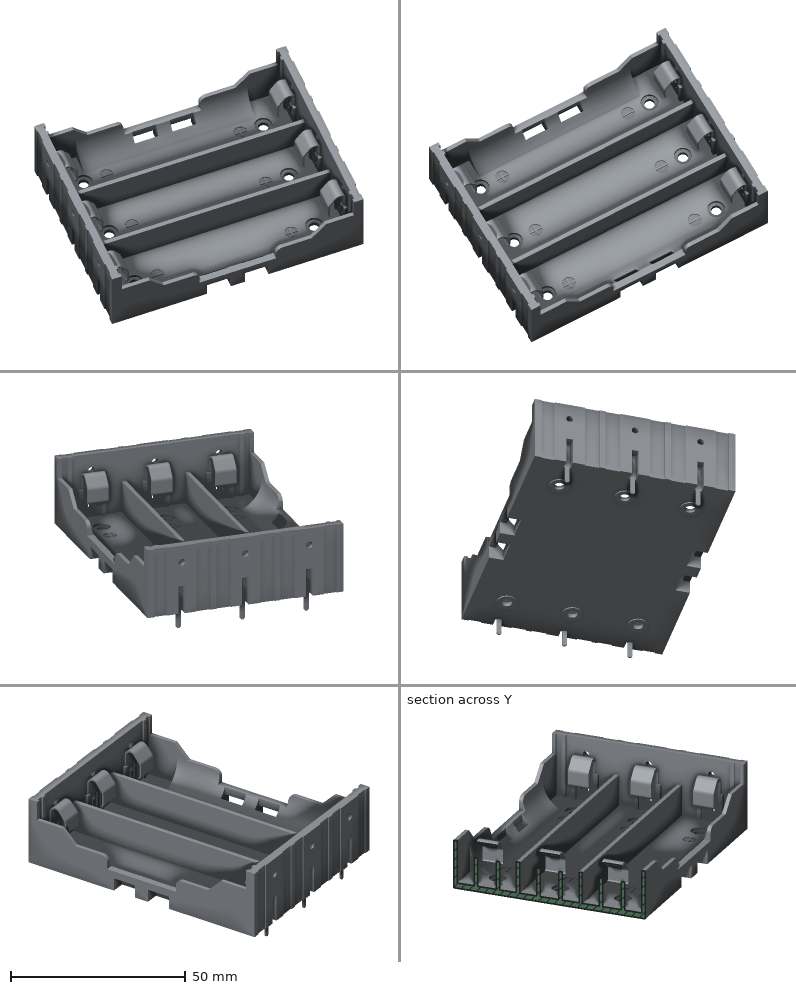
import cadquery as cq
import math


LENGTH_X = 59.8
LENGTH_Y = 77.8
HEIGHT = 21.0
FLOOR = 1.8
END_WALL = 2.5
SIDE_WALL = 1.2
INNER_X = LENGTH_X / 2 - SIDE_WALL
INNER_Y = LENGTH_Y / 2 - END_WALL

CELL_PITCH = 19.5
CELL_XS = [-CELL_PITCH, 0.0, CELL_PITCH]
CELL_RADIUS = INNER_X - CELL_PITCH
PARTITION_WIDTH = 1.25
PARTITION_TOP = 11.35

SHOULDER_Z = 14.9
RAIL_Z = 10.5
NOTCH_Z = 6.4
POST_DEPTH = 0.55
SHOULDER_END_Y = 27.3
SLOPE_END_Y = 22.9
NOTCH_HALF_Y = 11.8
NOTCH_FILLET = 2.0

CRADLE_HALF_Y = 26.45
CRADLE_FOOT = 3.1
CELL_AXIS_Z = FLOOR + math.sqrt(CELL_RADIUS**2 - CRADLE_FOOT**2)
WINDOW_WIDTH_X = 4.2
WINDOW_LENGTH_Y = 7.3
WINDOW_Y = 5.8
WINDOW_TOP = 4.05
NOTCH_WALL = 2.0

PAD_HALF = 4.5
GROOVE_DEPTH = 0.3
RIDGE_WIDTH = 1.8
CORNER_STRIP = 2.1
RIB_WIDTH = 1.25
RIB_X = 26.3
PEEP_HOLE_DIAMETER = 2.0
PEEP_HOLE_Z = 15.9
PIN_SLOT_WIDTH = 2.0
PIN_SLOT_TOP = 8.5

SCREW_Y = 27.8
SCREW_DIAMETER = 3.0
COUNTERBORE_DIAMETER = 5.1
COUNTERBORE_DEPTH = 0.8
BOSS_DIAMETER = 5.8
BOSS_HEIGHT = 0.3
DISC_Y = 20.7
DISC_DIAMETER = 4.0
DISC_DEPTH = 0.3
MARK_WIDTH = 0.5
MARK_CROSS_LENGTH = 3.2

SHEET = 0.5
CONTACT_WIDTH = 6.4
CONTACT_TOP = 15.95
ARCH_DIAMETER = 4.0
NOSE_REACH = 5.6
NOSE_RADIUS = 1.55
CURL_RADIUS = 1.0
CURL_START_Z = 8.55
SLANT_NORMAL_ANGLE = 38.0
CURL_END_ANGLE = -60.0
PIN_WIDTH = 1.4
PIN_BOTTOM = -5.45
PIN_CHAMFER = 0.5
TONGUE_TOP = 7.55
SLIT_WIDTH = 2.8
SLIT_BOTTOM = 4.8
SLIT_TOP = 9.3

RAIL_OUTER_X = 4.05
RAIL_LIP = 0.4
RAIL_DEPTH = 0.9
RAIL_TOP = 10.5


def block(x0, x1, y0, y1, z0, z1):
    """Axis-aligned box between two opposite corners."""
    return cq.Workplane("XY").box(x1 - x0, y1 - y0, z1 - z0, centered=False).translate((x0, y0, z0))


def upright(diameter, x, y, z0, z1):
    """Vertical cylinder."""
    return cq.Workplane("XY", origin=(x, y, z0)).circle(diameter / 2).extrude(z1 - z0)


def both_ends(shape):
    """The shape together with its mirror image at the other end of the holder."""
    return shape.union(shape.mirror("XZ"))


def both_sides(shape):
    """The shape together with its mirror image at the other side of the holder."""
    return shape.union(shape.mirror("YZ"))


def cradle():
    """Hollowed block in the corner between the floor and the +X side wall."""
    inner_edge = CELL_PITCH + CRADLE_FOOT
    body = block(inner_edge, INNER_X, -CRADLE_HALF_Y, CRADLE_HALF_Y, FLOOR, CELL_AXIS_Z)
    cell = (
        cq.Workplane("XZ", origin=(CELL_PITCH, CRADLE_HALF_Y, CELL_AXIS_Z))
        .circle(CELL_RADIUS)
        .extrude(2 * CRADLE_HALF_Y)
    )
    return body.cut(cell)


def side_opening():
    """Space above the stepped top edge of the +X side wall and its cradle."""
    post_y = INNER_Y - POST_DEPTH
    opening = (
        cq.Workplane("YZ", origin=(CELL_PITCH + CRADLE_FOOT, 0, 0))
        .moveTo(-post_y, HEIGHT)
        .lineTo(-post_y, SHOULDER_Z)
        .lineTo(-SHOULDER_END_Y, SHOULDER_Z)
        .lineTo(-SLOPE_END_Y, RAIL_Z)
        .lineTo(-NOTCH_HALF_Y - NOTCH_FILLET, RAIL_Z)
        .radiusArc((-NOTCH_HALF_Y, RAIL_Z - NOTCH_FILLET), NOTCH_FILLET)
        .lineTo(-NOTCH_HALF_Y, NOTCH_Z)
        .lineTo(NOTCH_HALF_Y, NOTCH_Z)
        .lineTo(NOTCH_HALF_Y, RAIL_Z - NOTCH_FILLET)
        .radiusArc((NOTCH_HALF_Y + NOTCH_FILLET, RAIL_Z), NOTCH_FILLET)
        .lineTo(SLOPE_END_Y, RAIL_Z)
        .lineTo(SHOULDER_END_Y, SHOULDER_Z)
        .lineTo(post_y, SHOULDER_Z)
        .lineTo(post_y, HEIGHT)
        .close()
        .extrude(LENGTH_X / 2)
    )
    inner_end_walls = block(0, INNER_X, INNER_Y - POST_DEPTH, LENGTH_Y / 2, 0, HEIGHT)
    return opening.cut(both_ends(inner_end_walls))


def side_window(y):
    """Opening in the foot of the +X side wall, rising through the cradle just inside the wall."""
    half = WINDOW_LENGTH_Y / 2
    inner_edge = LENGTH_X / 2 - WINDOW_WIDTH_X
    wall_opening = block(inner_edge, LENGTH_X / 2, y - half, y + half, 0, WINDOW_TOP)
    cradle_opening = block(inner_edge, LENGTH_X / 2 - NOTCH_WALL, y - half, y + half, 0, NOTCH_Z)
    return wall_opening.union(cradle_opening)


def outer_groove(x0, x1):
    """Shallow full-height groove in the outer face of the +Y end wall."""
    return block(x0, x1, LENGTH_Y / 2 - GROOVE_DEPTH, LENGTH_Y / 2, 0, HEIGHT)


def contact_rails(x):
    """Pair of hooked rails on the inside of the +Y end wall, for the contact at x."""
    rail = block(CONTACT_WIDTH / 2 - RAIL_LIP, RAIL_OUTER_X, INNER_Y - RAIL_DEPTH, INNER_Y, FLOOR, RAIL_TOP)
    plate_seat = block(0, CONTACT_WIDTH / 2, INNER_Y - SHEET, INNER_Y, FLOOR, RAIL_TOP)
    return both_sides(rail.cut(plate_seat)).translate((x, 0, 0))


def polarity_disc(x, y, crossed):
    """Round recess to cut in the floor, leaving a raised bar or cross inside it."""
    recess = upright(DISC_DIAMETER, x, y, FLOOR - DISC_DEPTH, FLOOR)
    half = MARK_WIDTH / 2
    bar = block(x - half, x + half, y - DISC_DIAMETER, y + DISC_DIAMETER, 0, FLOOR)
    recess = recess.cut(bar)
    if crossed:
        reach = MARK_CROSS_LENGTH / 2
        recess = recess.cut(block(x - reach, x + reach, y - half, y + half, 0, FLOOR))
    return recess


def make_housing():
    """Open tray with cradles, partitions, contact slots and screw holes."""
    body = block(-LENGTH_X / 2, LENGTH_X / 2, -LENGTH_Y / 2, LENGTH_Y / 2, 0, HEIGHT)
    body = body.cut(block(-INNER_X, INNER_X, -INNER_Y, INNER_Y, FLOOR, HEIGHT))

    post = block(INNER_X, LENGTH_X / 2, INNER_Y - POST_DEPTH, INNER_Y, 0, HEIGHT)
    rib = block(
        RIB_X - RIB_WIDTH / 2, RIB_X + RIB_WIDTH / 2, INNER_Y - POST_DEPTH, INNER_Y, FLOOR, HEIGHT
    )
    body = body.union(both_sides(cradle()))
    body = body.cut(both_sides(side_opening()))
    body = body.union(both_sides(both_ends(post.union(rib))))
    for y in (-WINDOW_Y, WINDOW_Y):
        body = body.cut(both_sides(side_window(y)))

    partition = block(
        (CELL_PITCH - PARTITION_WIDTH) / 2,
        (CELL_PITCH + PARTITION_WIDTH) / 2,
        -INNER_Y,
        INNER_Y,
        FLOOR,
        PARTITION_TOP,
    )
    body = body.union(both_sides(partition))

    groove_spans = [
        (PAD_HALF, (CELL_PITCH - RIDGE_WIDTH) / 2),
        ((CELL_PITCH + RIDGE_WIDTH) / 2, CELL_PITCH - PAD_HALF),
        (CELL_PITCH + PAD_HALF, LENGTH_X / 2 - CORNER_STRIP),
    ]
    for start, end in groove_spans:
        body = body.cut(both_sides(both_ends(outer_groove(start, end))))

    for x in CELL_XS:
        pin_slot = block(
            x - PIN_SLOT_WIDTH / 2, x + PIN_SLOT_WIDTH / 2, INNER_Y, LENGTH_Y / 2, 0, PIN_SLOT_TOP
        )
        floor_slot = block(
            x - PIN_SLOT_WIDTH / 2, x + PIN_SLOT_WIDTH / 2, INNER_Y - SHEET, INNER_Y, 0, FLOOR
        )
        peep_hole = (
            cq.Workplane("XZ", origin=(x, LENGTH_Y / 2, PEEP_HOLE_Z))
            .circle(PEEP_HOLE_DIAMETER / 2)
            .extrude(END_WALL)
        )
        boss = upright(BOSS_DIAMETER, x, SCREW_Y, -BOSS_HEIGHT, 0)
        screw_hole = upright(SCREW_DIAMETER, x, SCREW_Y, -BOSS_HEIGHT, FLOOR)
        counterbore = upright(COUNTERBORE_DIAMETER, x, SCREW_Y, FLOOR - COUNTERBORE_DEPTH, FLOOR)
        body = body.union(both_ends(contact_rails(x).union(boss)))
        for cutter in (pin_slot, floor_slot, peep_hole, screw_hole, counterbore):
            body = body.cut(both_ends(cutter))
        body = body.cut(polarity_disc(x, DISC_Y, crossed=True))
        body = body.cut(polarity_disc(x, -DISC_Y, crossed=False))
    return body


def contact_strip():
    """Bent sheet of one contact: plate on the +Y end wall, arch, slanted leaf, nose and curl.

    The outline is drawn by the distance inward from the end wall and the height.
    """
    arch_radius = ARCH_DIAMETER / 2
    slant = math.radians(SLANT_NORMAL_ANGLE)
    arch_centre = (arch_radius, CONTACT_TOP - arch_radius)
    nose_centre_reach = NOSE_REACH - NOSE_RADIUS
    leaf_offset = arch_centre[0] * math.cos(slant) + arch_centre[1] * math.sin(slant) + arch_radius
    nose_centre = (
        nose_centre_reach,
        (leaf_offset - NOSE_RADIUS - nose_centre_reach * math.cos(slant)) / math.sin(slant),
    )
    curl_centre = (NOSE_REACH - CURL_RADIUS, CURL_START_Z)

    def at(centre, radius, degrees):
        """Point on a bend; 0 degrees faces away from the end wall and 180 faces the wall."""
        angle = math.radians(degrees)
        return (INNER_Y - centre[0] - radius * math.cos(angle), centre[1] + radius * math.sin(angle))

    def bend(centre, radius, start, end):
        """Middle and end points of a bend that runs between two angles."""
        return at(centre, radius, (start + end) / 2), at(centre, radius, end)

    arch_inner = arch_radius - SHEET
    nose_inner = NOSE_RADIUS - SHEET
    curl_inner = CURL_RADIUS - SHEET
    leaf = SLANT_NORMAL_ANGLE
    return (
        cq.Workplane("YZ", origin=(-CONTACT_WIDTH / 2, 0, 0))
        .moveTo(INNER_Y, FLOOR)
        .lineTo(*at(arch_centre, arch_radius, 180))
        .threePointArc(*bend(arch_centre, arch_radius, 180, leaf))
        .lineTo(*at(nose_centre, NOSE_RADIUS, leaf))
        .threePointArc(*bend(nose_centre, NOSE_RADIUS, leaf, 0))
        .lineTo(*at(curl_centre, CURL_RADIUS, 0))
        .threePointArc(*bend(curl_centre, CURL_RADIUS, 0, CURL_END_ANGLE))
        .lineTo(*at(curl_centre, curl_inner, CURL_END_ANGLE))
        .threePointArc(*bend(curl_centre, curl_inner, CURL_END_ANGLE, 0))
        .lineTo(*at(nose_centre, nose_inner, 0))
        .threePointArc(*bend(nose_centre, nose_inner, 0, leaf))
        .lineTo(*at(arch_centre, arch_inner, leaf))
        .threePointArc(*bend(arch_centre, arch_inner, leaf, 180))
        .lineTo(INNER_Y - SHEET, FLOOR)
        .close()
        .extrude(CONTACT_WIDTH)
    )


def make_contact():
    """Contact for the +Y end wall, centred on X = 0."""
    plate_y0 = INNER_Y - SHEET
    half_slot = PIN_SLOT_WIDTH / 2
    half_pin = PIN_WIDTH / 2
    neck = block(-half_slot, half_slot, plate_y0, INNER_Y, 0, FLOOR)
    pin = block(-half_pin, half_pin, plate_y0, INNER_Y, PIN_BOTTOM, 0)
    pin = pin.faces("<Z").edges("|Y").chamfer(PIN_CHAMFER)
    slit = block(-SLIT_WIDTH / 2, SLIT_WIDTH / 2, plate_y0, INNER_Y, SLIT_BOTTOM, SLIT_TOP)
    tongue = block(-half_pin, half_pin, plate_y0, INNER_Y, SLIT_BOTTOM, TONGUE_TOP)
    return contact_strip().union(neck).union(pin).cut(slit.cut(tongue))


housing = make_housing().solids()
contacts = []
for cell_x in CELL_XS:
    back_contact = make_contact().translate((cell_x, 0, 0)).solids()
    contacts.append(back_contact)
    contacts.append(back_contact.mirror("XZ").solids())

result = cq.Compound.makeCompound([housing.val(), *[contact.val() for contact in contacts]])